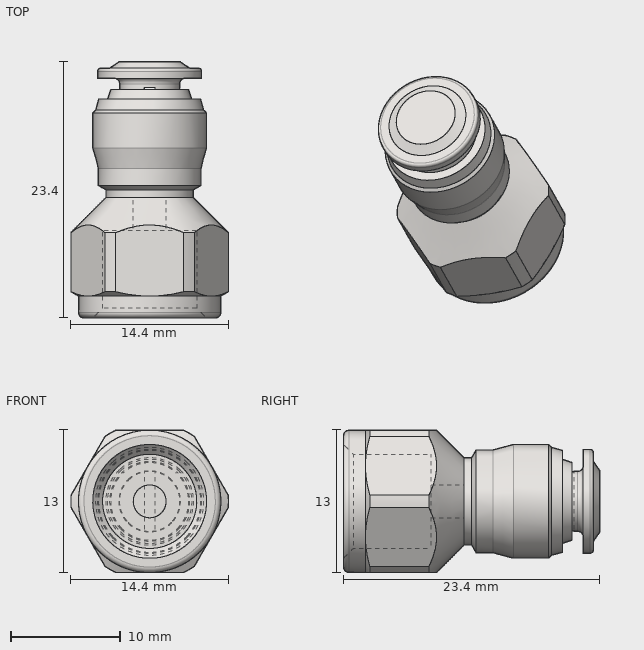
import cadquery as cq
import math


hex_start = 2.0
hex_cone_end = 11.0
neck_end = 11.7
shoulder_taper_start = 13.64
barrel_start = 15.5
barrel_end = 18.73
barrel_edge_end = 19.0
barrel_taper_end = 20.0
guide_end = 20.87
flange_start = 21.88
flange_end = 22.82
total_length = 23.4

across_flats = 13.0
corner_diameter = 14.4
flats_turn = 30
socket_outer_radius = across_flats / 2
socket_lip_fillet = 0.5
thread_radius = 4.3
mouth_radius = 5.2
thread_depth = 8.0
passage_radius = 1.5
passage_depth = 3.0
bevel_angle = math.radians(30)

neck_radius = 4.0
shoulder_radius = 4.7
barrel_radius = 5.2
barrel_edge_radius = 4.93
barrel_tip_radius = 4.66
guide_base_radius = 3.85
guide_tip_radius = 3.55

collar_radius = 2.75
collar_fillet = 0.5
flange_radius = 4.75
flange_fillet = 0.3
crown_base_radius = 3.65
crown_tip_radius = 2.8
slit_width = 0.95
slit_height = 0.16

corner_radius = corner_diameter / 2
bevel_length = (corner_radius - socket_outer_radius) * math.tan(bevel_angle)
hex_bevel_end = hex_start + bevel_length
hex_cone_start = hex_cone_end - (corner_radius - neck_radius)
shoulder_start = neck_end + (shoulder_radius - neck_radius) * math.tan(bevel_angle)


SECTION = cq.Plane(origin=(0, 0, 0), xDir=(0, 0, 1), normal=(-1, 0, 0))


def revolve(profile):
    """Turn a (radius, length) profile about the Y axis."""
    return profile.close().revolve(axisStart=(0, 0, 0), axisEnd=(0, 1, 0))


def make_nut():
    turned = revolve(
        cq.Workplane(SECTION)
        .lineTo(socket_outer_radius, 0)
        .lineTo(socket_outer_radius, hex_start)
        .lineTo(corner_radius, hex_bevel_end)
        .lineTo(corner_radius, hex_cone_start)
        .lineTo(neck_radius, hex_cone_end)
        .lineTo(0, hex_cone_end)
    )
    hexagon = (
        cq.Workplane("XZ")
        .polygon(6, across_flats, circumscribed=True)
        .extrude(-hex_cone_end)
        .rotate((0, 0, 0), (0, 1, 0), flats_turn)
    )
    return turned.intersect(hexagon).faces("<Y").edges().fillet(socket_lip_fillet)


def make_body():
    return revolve(
        cq.Workplane(SECTION)
        .moveTo(0, hex_cone_end)
        .lineTo(neck_radius, hex_cone_end)
        .lineTo(neck_radius, neck_end)
        .lineTo(shoulder_radius, shoulder_start)
        .lineTo(shoulder_radius, shoulder_taper_start)
        .lineTo(barrel_radius, barrel_start)
        .lineTo(barrel_radius, barrel_end)
        .lineTo(barrel_edge_radius, barrel_edge_end)
        .lineTo(barrel_tip_radius, barrel_taper_end)
        .lineTo(guide_base_radius, barrel_taper_end)
        .lineTo(guide_tip_radius, guide_end)
        .lineTo(0, guide_end)
    )


def make_collar():
    collar = revolve(
        cq.Workplane(SECTION)
        .moveTo(0, guide_end)
        .lineTo(collar_radius, guide_end)
        .lineTo(collar_radius, flange_start - collar_fillet)
        .radiusArc((collar_radius + collar_fillet, flange_start), collar_fillet)
        .lineTo(flange_radius, flange_start)
        .lineTo(flange_radius, flange_end - flange_fillet)
        .radiusArc((flange_radius - flange_fillet, flange_end), -flange_fillet)
        .lineTo(crown_base_radius, flange_end)
        .lineTo(crown_tip_radius, total_length)
        .lineTo(0, total_length)
    )
    slit = cq.Workplane("XY").box(slit_width, slit_height, 2 * guide_tip_radius)
    return collar.cut(slit.translate((0, guide_end + slit_height / 2, 0)))


def make_socket_cut():
    """Threaded bore with a 45 degree mouth and a blind passage in its floor."""
    return revolve(
        cq.Workplane(SECTION)
        .lineTo(mouth_radius, 0)
        .lineTo(thread_radius, mouth_radius - thread_radius)
        .lineTo(thread_radius, thread_depth)
        .lineTo(passage_radius, thread_depth)
        .lineTo(passage_radius, thread_depth + passage_depth)
        .lineTo(0, thread_depth + passage_depth)
    )


solid = make_nut().union(make_body()).union(make_collar()).cut(make_socket_cut())
result = solid.translate((0, -total_length / 2, 0))